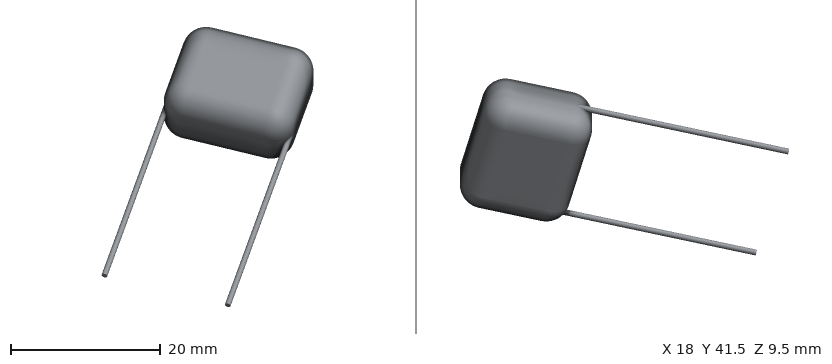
import cadquery as cq

total_length = 41.5
body_width = 18.0
body_depth = 15.02
body_height = 9.5
edge_radius = 3.2

lead_diameter = 0.8
lead_pitch = 17.2

back_y = total_length / 2
tip_y = -total_length / 2
body_center_y = back_y - body_depth / 2


def make_body():
    """Block with every edge and corner rounded to the same radius."""
    block = cq.Workplane("XY").box(body_width, body_depth, body_height)
    return block.edges().fillet(edge_radius).translate((0, body_center_y, 0))


def make_lead(center_x):
    """Straight round wire from its tip to the middle of the body."""
    lead_length = body_center_y - tip_y
    profile = cq.Workplane("XZ", origin=(center_x, body_center_y, 0)).circle(lead_diameter / 2)
    return profile.extrude(lead_length)


result = make_body()
for side in (-1, 1):
    result = result.union(make_lead(side * lead_pitch / 2))